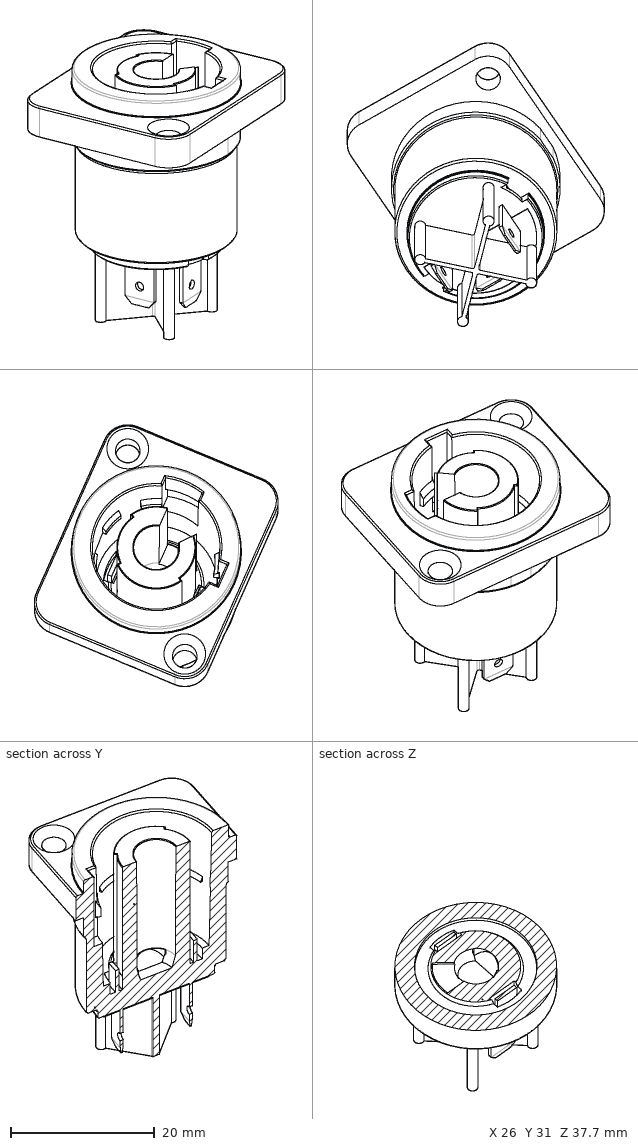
import cadquery as cq
import math


FLANGE_X = 26.0
FLANGE_Y = 31.0
FLANGE_THICKNESS = 4.6
FLANGE_CORNER = 3.5
FLANGE_CHAMFER = 0.25
SCREW_X = FLANGE_X / 2 - FLANGE_CORNER
SCREW_Y = FLANGE_Y / 2 - FLANGE_CORNER
SCREW_HOLE = 3.4
SCREW_HEAD = 5.8

COLLAR_R = 23.5 / 2
COLLAR_CHAMFER = 0.3
RIM_ROUND = 0.25
RIM_FOOT_R = 11.87
RIM_FOOT_HEIGHT = 0.12
COLLAR_FLAT_HALF_WIDTH = 1.67
NECK_R = 22.6 / 2
NECK_CHAMFER = 0.3
CAP_R = 18.9 / 2
CAP_LIP_R = 19.2 / 2
CAP_LIP_HEIGHT = 0.25
CAP_CHAMFER = 0.2
PAD_R = 8.5
PAD_HEIGHT = 0.1
Z_TOP = 7.0
Z_COLLAR = -3.8
COLLAR_STEP = 0.35
Z_NECK = -18.0
Z_CAP = -19.7
Z_BOTTOM = -30.7

NOTCH_Y0 = 1.25
NOTCH_Y1 = 4.7
NOTCH_R = 8.5
NOTCH_DEEP_X = 7.5
NOTCH_DEEP_Y1 = 4.2
NOTCH_DEEP_HEIGHT = 0.75

BORE_R = 8.9
BORE_FLOOR_R = 16.99 / 2
Z_FLOOR = -14.0
MOUTH_CHAMFER = 0.25
Z_KEYWAY = -6.0
TOP_KEY_WIDTH = 5.52
TOP_KEY_R = 10.1
UNDERCUT_R = 21.6 / 2
Z_UNDERCUT = 0.4
SIDE_KEY_WIDTH = 3.3
SIDE_KEY_R = 10.0

LUG_SECTORS = [(10, 30), (108, 128), (150, 172), (328, 350)]
LUG_R = 8.2
LUG_HEIGHT = 3.0
Z_LUG = 0.6

LEDGE_SECTOR = (192, 305)
LEDGE_R = 8.35
Z_LEDGE = -2.0
RAMP_HEIGHT = 1.5
RING_OVERLAP = 0.1

CORE_R = 5.95
CORE_EDGE_CHAMFER = 0.12
CORE_RECESS = 0.45
CORE_RECESS_SECTORS = [(150, 227), (330, 402)]
Z_CORE = Z_TOP - 0.3
CORE_BORE_R = 3.15
CORE_BORE_LOW_R = 3.05
CORE_WELL_R = 2.5
CORE_WELL_TOP_R = 3.05
CORE_WELL_DEPTH = 2.0
CORE_WELL_FLAT = 1.65
CORE_FOOT_BOTTOM_R = 6.65
CORE_FOOT_TOP_R = 6.3
CORE_FOOT_HEIGHT = 0.5
GAP_FLOOR_R = 6.05
GAP_FLOOR_DROP = 0.3
GAP_LEFT_X = -0.83
GAP_INNER = (2.52, 1.8)
GAP_OUTER = (4.2, 3.8)

POCKET_R = 7.4
POCKET_INNER_X = 5.5
POCKET_WIDTH = 4.5
POCKET_DEPTH = 2.0
CONTACT_X = 6.0
CONTACT_THICKNESS = 0.6
CONTACT_WIDTH = 3.6
CONTACT_HEIGHT = 4.0

TAB_WIDTH = 4.75
TAB_THICKNESS = 0.55
TAB_TIP_WIDTH = 2.8
TAB_TIP_THICKNESS = 0.25
TAB_HOLE = 1.3
TAB_SIDE_FACE = 5.85
TAB_FRONT_FACE = 4.4
Z_TAB_HOLE = -24.7
Z_TAB_TAPER = -26.6
Z_TAB_TIP = -27.7

DIVIDER_REACH = 6.38
POST_R = 0.77
POST_CENTRE = DIVIDER_REACH - POST_R
WALL_THICKNESS = 0.6
WALL_FILLET = 0.3


def disc(radius, z_low, z_high):
    return cq.Workplane("XY").workplane(offset=z_low).circle(radius).extrude(z_high - z_low)


def block(x0, x1, y0, y1, z0, z1):
    return cq.Workplane("XY").box(x1 - x0, y1 - y0, z1 - z0, centered=False).translate((x0, y0, z0))


def polar(radius, degrees):
    angle = math.radians(degrees)
    return (radius * math.cos(angle), radius * math.sin(angle))


def sector(outer_r, start, end, z_low, z_high):
    """Pie slice about the Z axis."""
    return (
        cq.Workplane("XY").workplane(offset=z_low)
        .lineTo(*polar(outer_r, start))
        .threePointArc(polar(outer_r, (start + end) / 2), polar(outer_r, end))
        .close().extrude(z_high - z_low)
    )


def cone(top_r, low_r, z_low, z_high):
    """Solid cone frustum on the Z axis, given its top and bottom radius."""
    points = [(0, z_low), (low_r, z_low), (top_r, z_high), (0, z_high)]
    return cq.Workplane("XZ").polyline(points).close().revolve(360, (0, 0), (0, 1))


def make_flange():
    flange = (
        cq.Workplane("XY").rect(FLANGE_X, FLANGE_Y).extrude(FLANGE_THICKNESS)
        .edges("|Z").fillet(FLANGE_CORNER)
        .faces(">Z").edges().chamfer(FLANGE_CHAMFER)
    )
    return (
        flange.faces(">Z").workplane()
        .pushPoints([(-SCREW_X, SCREW_Y), (SCREW_X, -SCREW_Y)])
        .cskHole(SCREW_HOLE, SCREW_HEAD, 90)
    )


def make_body():
    collar = disc(COLLAR_R, Z_COLLAR, Z_TOP).faces("<Z").chamfer(COLLAR_CHAMFER)
    collar = collar.faces(">Z").edges().fillet(RIM_ROUND)
    collar = collar.union(disc(RIM_FOOT_R, 0, FLANGE_THICKNESS + RIM_FOOT_HEIGHT))
    flat_x = math.sqrt(COLLAR_R ** 2 - COLLAR_FLAT_HALF_WIDTH ** 2)
    collar = collar.cut(block(-FLANGE_X, -flat_x, -FLANGE_Y, FLANGE_Y, Z_COLLAR, 0))
    shoulder = cone(COLLAR_R - COLLAR_CHAMFER, NECK_R, Z_COLLAR - COLLAR_STEP, Z_COLLAR)
    neck = disc(NECK_R, Z_NECK, Z_COLLAR).faces("<Z").chamfer(NECK_CHAMFER)
    return collar.union(shoulder).union(neck)


def make_cap():
    cap = disc(CAP_R, Z_CAP, Z_NECK).faces("<Z").chamfer(CAP_CHAMFER)
    cap = cap.union(disc(CAP_LIP_R, Z_NECK - CAP_LIP_HEIGHT, Z_NECK))
    pad = disc(PAD_R, Z_CAP - PAD_HEIGHT, Z_CAP).cut(
        block(-PAD_R, PAD_R, 0, PAD_R, Z_CAP - PAD_HEIGHT, Z_CAP)
    )
    cap = cap.union(pad)
    shallow = block(-FLANGE_X, 0, NOTCH_Y0, NOTCH_Y1, Z_CAP, Z_NECK).cut(disc(NOTCH_R, Z_CAP, Z_NECK))
    deep = block(-CAP_LIP_R, -NOTCH_DEEP_X, NOTCH_Y0, NOTCH_DEEP_Y1, Z_NECK - NOTCH_DEEP_HEIGHT, Z_NECK)
    notch = shallow.union(deep)
    for turn in (0, 180):
        cap = cap.cut(notch.rotate((0, 0, 0), (0, 0, 1), turn))
    return cap


def make_socket_cavity():
    """Tapered bore with two keyways; the upper keyway widens behind its lip."""
    bore = cone(BORE_R, BORE_FLOOR_R, Z_FLOOR, Z_TOP)
    half_top = TOP_KEY_WIDTH / 2
    half_side = SIDE_KEY_WIDTH / 2
    top_key = block(-half_top, half_top, 0, UNDERCUT_R, Z_KEYWAY, Z_TOP)
    lip = disc(TOP_KEY_R, Z_UNDERCUT, Z_TOP)
    undercut = disc(UNDERCUT_R, Z_KEYWAY, Z_UNDERCUT)
    side_key = block(0, SIDE_KEY_R, -half_side, half_side, Z_KEYWAY, Z_TOP)
    return bore.union(top_key.intersect(lip.union(undercut))).union(side_key)


def chamfer_mouth(body):
    """Break the inner edge of the rim, including the keyways."""
    reach = COLLAR_R - 2 * RIM_ROUND
    inner = cq.selectors.BoxSelector((-reach, -reach, 0), (reach, reach, 2 * Z_TOP), boundingbox=True)
    return body.faces(">Z").edges(inner).chamfer(MOUTH_CHAMFER)


def make_bore_ring(sectors, inner_r, z_low, z_high):
    """Pieces of ring standing in from the bore wall, each with a sloped top."""
    overlap_r = BORE_R + RING_OVERLAP
    hollow = disc(inner_r, z_low, z_high).union(
        cone(overlap_r, inner_r, z_high - RAMP_HEIGHT, z_high)
    )
    pieces = cq.Workplane("XY")
    for start, end in sectors:
        pieces = pieces.add(sector(overlap_r, start, end, z_low, z_high).cut(hollow))
    return pieces.combine()


def make_core():
    core = disc(CORE_R, Z_FLOOR, Z_CORE)
    recess_r = CORE_R - CORE_RECESS
    for start, end in CORE_RECESS_SECTORS:
        recess = sector(POCKET_R, start, end, Z_FLOOR, Z_CORE)
        core = core.cut(recess.cut(disc(recess_r, Z_FLOOR, Z_CORE)))
    core = core.faces(">Z").edges().chamfer(CORE_EDGE_CHAMFER)
    core = core.union(
        cone(CORE_FOOT_TOP_R, CORE_FOOT_BOTTOM_R, Z_FLOOR, Z_FLOOR + CORE_FOOT_HEIGHT)
    )
    z_gap = Z_FLOOR + CORE_FOOT_HEIGHT
    core = core.cut(cone(CORE_BORE_R, CORE_BORE_LOW_R, z_gap, Z_CORE))
    core = core.cut(
        cone(CORE_BORE_R + CORE_EDGE_CHAMFER, CORE_BORE_R, Z_CORE - CORE_EDGE_CHAMFER, Z_CORE)
    )
    slope = (GAP_OUTER[1] - GAP_INNER[1]) / (GAP_OUTER[0] - GAP_INNER[0])
    far_y = BORE_R
    far_x = GAP_INNER[0] + (far_y - GAP_INNER[1]) / slope
    gap = (
        cq.Workplane("XY").workplane(offset=z_gap - GAP_FLOOR_DROP)
        .polyline([(GAP_LEFT_X, GAP_INNER[1]), GAP_INNER, (far_x, far_y), (GAP_LEFT_X, far_y)])
        .close().extrude(Z_CORE - z_gap + GAP_FLOOR_DROP)
    )
    gap = gap.intersect(disc(GAP_FLOOR_R, z_gap - GAP_FLOOR_DROP, Z_CORE))
    return core.cut(gap)


def make_core_well():
    """Round well with a ramp beyond its flat side, below the core bore."""
    z_top = Z_FLOOR + CORE_FOOT_HEIGHT
    z_low = z_top - CORE_WELL_DEPTH
    well = cone(CORE_WELL_TOP_R, CORE_WELL_R, z_low, z_top).cut(
        block(-CORE_BORE_R, CORE_BORE_R, -CORE_BORE_R, -CORE_WELL_FLAT, z_low, z_top)
    )
    ramp = (
        cq.Workplane("YZ")
        .polyline([(-CORE_WELL_FLAT, z_low), (-CORE_BORE_R, z_top), (-CORE_WELL_FLAT, z_top)])
        .close().extrude(CORE_WELL_R, both=True)
    )
    return well.union(ramp.intersect(disc(CORE_BORE_R, z_low, z_top)))


def make_contact_pocket():
    z_low = Z_FLOOR - POCKET_DEPTH
    half = POCKET_WIDTH / 2
    pocket = block(POCKET_INNER_X, POCKET_R, -half, half, z_low, Z_FLOOR + CORE_FOOT_HEIGHT)
    return pocket.intersect(disc(POCKET_R, z_low, Z_FLOOR + CORE_FOOT_HEIGHT))


def make_contact():
    half = CONTACT_WIDTH / 2
    z_low = Z_FLOOR - POCKET_DEPTH
    return block(CONTACT_X, CONTACT_X + CONTACT_THICKNESS, -half, half, z_low, z_low + CONTACT_HEIGHT)


def make_tab(outer_face):
    """Solder tab on the -Y side with its outer face at the given distance."""
    middle = -outer_face + TAB_THICKNESS / 2
    straight = block(
        -TAB_WIDTH / 2, TAB_WIDTH / 2, -outer_face, -outer_face + TAB_THICKNESS, Z_TAB_TAPER, Z_CAP
    )
    tip = (
        cq.Workplane("XY").workplane(offset=Z_TAB_TAPER).center(0, middle)
        .rect(TAB_WIDTH, TAB_THICKNESS)
        .workplane(offset=Z_TAB_TIP - Z_TAB_TAPER).rect(TAB_TIP_WIDTH, TAB_TIP_THICKNESS)
        .loft(ruled=True)
    )
    hole = (
        cq.Workplane("XZ").center(0, Z_TAB_HOLE).circle(TAB_HOLE / 2).extrude(outer_face)
    )
    return straight.union(tip).cut(hole)


def make_divider():
    height = Z_CAP - Z_BOTTOM
    arm_length = 2 * math.sqrt(2) * POST_CENTRE
    base = cq.Workplane("XY").workplane(offset=Z_BOTTOM)
    walls = base.rect(arm_length, WALL_THICKNESS).extrude(height)
    walls = walls.union(base.rect(WALL_THICKNESS, arm_length).extrude(height))
    inner = cq.selectors.BoxSelector(
        (-WALL_THICKNESS, -WALL_THICKNESS, Z_BOTTOM), (WALL_THICKNESS, WALL_THICKNESS, Z_CAP)
    )
    walls = walls.edges("|Z").edges(inner).fillet(WALL_FILLET)
    walls = walls.rotate((0, 0, 0), (0, 0, 1), 45)
    posts = (
        base.rect(2 * POST_CENTRE, 2 * POST_CENTRE, forConstruction=True)
        .vertices().circle(POST_R).extrude(height)
    )
    return walls.union(posts)


part = make_flange().union(make_body()).union(make_cap())
part = chamfer_mouth(part.cut(make_socket_cavity()))
part = part.union(make_bore_ring(LUG_SECTORS, LUG_R, Z_LUG - LUG_HEIGHT, Z_LUG))
part = part.union(make_bore_ring([LEDGE_SECTOR], LEDGE_R, Z_LEDGE - RAMP_HEIGHT, Z_LEDGE))
part = part.union(make_core()).cut(make_core_well())
for turn in (0, 180):
    part = part.cut(make_contact_pocket().rotate((0, 0, 0), (0, 0, 1), turn))
    part = part.union(make_contact().rotate((0, 0, 0), (0, 0, 1), turn))
part = part.union(make_tab(TAB_FRONT_FACE))
for turn in (90, -90):
    part = part.union(make_tab(TAB_SIDE_FACE).rotate((0, 0, 0), (0, 0, 1), turn))
result = part.union(make_divider())